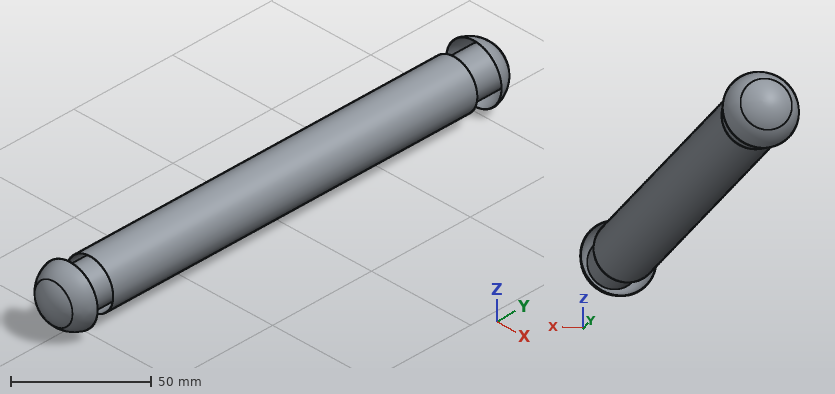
import cadquery as cq
import math

length = 228.5
head_diameter = 28.0
shank_diameter = 19.0
sleeve_diameter = 23.8

head_height = 12.0
rim_height = 0.7
dome_height = head_height - rim_height

head_wall = 0.2
sleeve_wall = 0.2

neck_length = 10.0

half_length = length / 2
head_radius = head_diameter / 2
shank_radius = shank_diameter / 2
sleeve_radius = sleeve_diameter / 2
head_base = half_length - head_height
rim_top = head_base + rim_height
sleeve_length = 2 * (head_base - neck_length)

dome_radius = (head_radius**2 + dome_height**2) / (2 * dome_height)
dome_center = half_length - dome_radius
cavity_radius = dome_radius - head_wall
cavity_rim_radius = head_radius - head_wall


def point_on_sphere(sphere_radius, y):
    """Profile point at height y on a sphere that shares the dome's centre."""
    return (math.sqrt(sphere_radius**2 - (y - dome_center) ** 2), y)


def height_on_sphere(sphere_radius, x):
    """Height at distance x from the axis on a sphere that shares the dome's centre."""
    return dome_center + math.sqrt(sphere_radius**2 - x**2)


def make_shank():
    """Solid rod that reaches into both heads."""
    cavity_top = height_on_sphere(cavity_radius, shank_radius)
    return cq.Workplane("XZ", origin=(0, cavity_top, 0)).circle(shank_radius).extrude(2 * cavity_top)


def make_head():
    """Hollow domed head at the +Y end, closed onto the shank at the cavity's top."""
    cavity_rim_top = height_on_sphere(cavity_radius, cavity_rim_radius)
    cavity_top = height_on_sphere(cavity_radius, shank_radius)
    cavity_middle = point_on_sphere(cavity_radius, (cavity_rim_top + cavity_top) / 2)
    dome_middle = point_on_sphere(dome_radius, (rim_top + half_length) / 2)
    return (
        cq.Workplane("XY")
        .moveTo(0, cavity_top)
        .lineTo(shank_radius, cavity_top)
        .threePointArc(cavity_middle, (cavity_rim_radius, cavity_rim_top))
        .lineTo(cavity_rim_radius, head_base)
        .lineTo(head_radius, head_base)
        .lineTo(head_radius, rim_top)
        .threePointArc(dome_middle, (0, half_length))
        .close()
        .revolve(360, (0, 0, 0), (0, 1, 0))
    )


def make_pin():
    """Shank with a hollow head at each end, as one solid."""
    head = make_head()
    return make_shank().union(head).union(head.mirror("XZ"))


def make_sleeve():
    """Thin tube around the shank, clear of it and centred between the heads."""
    return (
        cq.Workplane("XZ", origin=(0, sleeve_length / 2, 0))
        .circle(sleeve_radius)
        .circle(sleeve_radius - sleeve_wall)
        .extrude(sleeve_length)
    )


pin = make_pin()
sleeve = make_sleeve()

result = cq.Compound.makeCompound([pin.solids().val(), sleeve.val()])